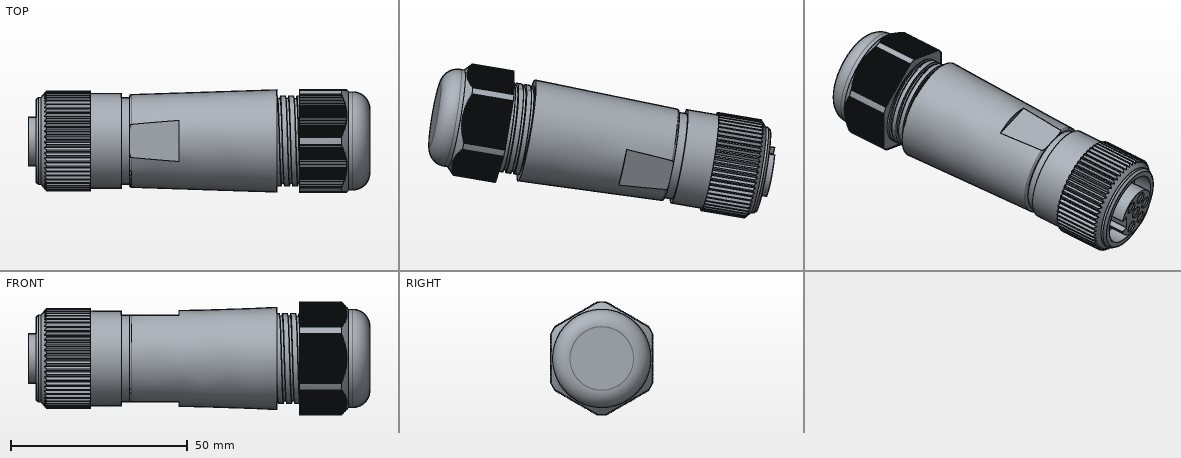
import cadquery as cq
import math

TOTAL_LENGTH = 96.5

INSERT_RADIUS = 7.0
FLANGE_RADIUS = 9.1
FLANGE_THICKNESS = 1.9
SOCKET_DIAMETER = 3.4
SOCKET_DEPTH = 0.5
SOCKET_CIRCLE_RADIUS = 4.5
SOCKET_ANGLES = (-120, -60, 0, 60, 120)
KEYWAY_WIDTH = 4.3
KEYWAY_BOTTOM = 4.7

RING_START = 2.1
RING_END = 26.2
RING_BORE_RADIUS = 10.3
RING_FACE_RADIUS = 11.8
RING_NOSE_START = 2.9
RING_NOSE_RADIUS = 12.35
RING_NOSE_END = 3.6
RING_COLLAR_RADIUS = 13.4
RING_KNURL_RADIUS = 14.1
RING_KNURL_START = 5.1
RING_KNURL_END = 17.5
RING_TEETH = 55
RING_CREST_WIDTH = 0.4
CAVITY_FLOOR = 7.5

NECK_RADIUS = 12.3
BODY_START = 28.6
BODY_END = 70.1
BODY_START_RADIUS = 13.1
BODY_END_RADIUS = 14.5
BODY_ROUND = 0.6
FLAT_END = 42.5

THREAD_RADIUS = 12.7
THREAD_ROOT_RADIUS = 12.1
THREAD_PITCH = 2.3
GROOVE_TURNS = 4
THREAD_END = 81.05
GROOVE_TOP_X = 71.3
GROOVE_ROOT_WIDTH = 0.7
GROOVE_CREST_WIDTH = 1.0

NUT_START = 76.5
NUT_ACROSS_FLATS = 29.0
NUT_ACROSS_CORNERS = 31.9
NUT_CHAMFER_START = 88.4
NUT_CHAMFER_END = 90.4
NUT_TEETH_PER_FLAT = 29
NUT_TOOTH_PITCH = 0.5
DOME_RADIUS = 13.9
DOME_ROUND = 4.9


def cylinder(x_start, x_end, radius):
    return cq.Workplane("YZ", origin=(x_start, 0, 0)).circle(radius).extrude(x_end - x_start)


def prism(x_start, x_end, points):
    return cq.Workplane("YZ", origin=(x_start, 0, 0)).polyline(points).close().extrude(x_end - x_start)


def revolve_about_x(profile):
    return profile.close().revolve(360, (0, 0, 0), (1, 0, 0))


def polar(radius, angle):
    return (radius * math.cos(angle), radius * math.sin(angle))


def make_insert():
    flange_end = CAVITY_FLOOR + FLANGE_THICKNESS
    post = cylinder(0, CAVITY_FLOOR, INSERT_RADIUS)
    keyway = cq.Workplane("XY").box(
        CAVITY_FLOOR, INSERT_RADIUS, KEYWAY_WIDTH, centered=(False, False, True)
    ).translate((0, KEYWAY_BOTTOM, 0))
    insert = post.cut(keyway).union(cylinder(CAVITY_FLOOR, flange_end, FLANGE_RADIUS))

    ring_sockets = [polar(SOCKET_CIRCLE_RADIUS, math.radians(180 + a)) for a in SOCKET_ANGLES]
    sockets = (
        cq.Workplane("YZ")
        .pushPoints([(0, 0)] + ring_sockets)
        .circle(SOCKET_DIAMETER / 2)
        .extrude(SOCKET_DEPTH)
    )
    return insert.cut(sockets)


def make_ring():
    envelope = revolve_about_x(
        cq.Workplane("XY")
        .moveTo(RING_START, 0)
        .lineTo(RING_START, RING_FACE_RADIUS)
        .lineTo(RING_NOSE_START, RING_NOSE_RADIUS)
        .lineTo(RING_NOSE_END, RING_NOSE_RADIUS)
        .lineTo(RING_KNURL_START, RING_KNURL_RADIUS)
        .lineTo(RING_END, RING_KNURL_RADIUS)
        .lineTo(RING_END, 0)
    )
    half_tooth = math.pi / RING_TEETH
    half_crest = RING_CREST_WIDTH / 2 / RING_KNURL_RADIUS
    knurl_points = []
    for tooth in range(RING_TEETH):
        crest_angle = (2 * tooth + 1) * half_tooth
        knurl_points.append(polar(RING_KNURL_RADIUS, crest_angle - half_crest))
        knurl_points.append(polar(RING_KNURL_RADIUS, crest_angle + half_crest))
        knurl_points.append(polar(RING_COLLAR_RADIUS, crest_angle + half_tooth))
    knurl = prism(RING_START, RING_KNURL_END, knurl_points).intersect(envelope)
    collar = cylinder(RING_KNURL_END, RING_END, RING_COLLAR_RADIUS)
    return knurl.union(collar).cut(cylinder(RING_START, RING_END, RING_BORE_RADIUS))


def make_grip():
    arc_middle = BODY_ROUND * (1 - math.sqrt(0.5))
    grip = revolve_about_x(
        cq.Workplane("XY")
        .moveTo(BODY_START, 0)
        .lineTo(BODY_START, BODY_START_RADIUS - BODY_ROUND)
        .threePointArc(
            (BODY_START + arc_middle, BODY_START_RADIUS - arc_middle),
            (BODY_START + BODY_ROUND, BODY_START_RADIUS),
        )
        .lineTo(BODY_END, BODY_END_RADIUS)
        .lineTo(BODY_END, 0)
    )
    flat_depth = BODY_END_RADIUS - NECK_RADIUS
    for side in (1, -1):
        flat = cq.Workplane("XY").box(
            FLAT_END - BODY_START, 2 * BODY_END_RADIUS, flat_depth, centered=(False, True, True)
        ).translate((BODY_START, 0, side * (NECK_RADIUS + flat_depth / 2)))
        grip = grip.cut(flat)
    return grip


def make_thread():
    """Threaded stub, rooted inside the grip so that its one-start groove emerges from the grip end."""
    groove_overshoot = 0.5
    groove_start = GROOVE_TOP_X - THREAD_PITCH
    stub_start = groove_start - THREAD_PITCH
    cutter_radius = THREAD_RADIUS + groove_overshoot
    flank_slope = (GROOVE_CREST_WIDTH - GROOVE_ROOT_WIDTH) / (THREAD_RADIUS - THREAD_ROOT_RADIUS)
    cutter_width = GROOVE_CREST_WIDTH + flank_slope * groove_overshoot
    path = cq.Wire.makeHelix(THREAD_PITCH, GROOVE_TURNS * THREAD_PITCH, THREAD_ROOT_RADIUS)
    groove = (
        cq.Workplane("XZ")
        .polyline([
            (THREAD_ROOT_RADIUS, -GROOVE_ROOT_WIDTH / 2),
            (cutter_radius, -cutter_width / 2),
            (cutter_radius, cutter_width / 2),
            (THREAD_ROOT_RADIUS, GROOVE_ROOT_WIDTH / 2),
        ])
        .close()
        .sweep(path, isFrenet=True)
    )
    groove = groove.rotate((0, 0, 0), (0, 0, 1), 180).rotate((0, 0, 0), (0, 1, 0), 90)
    return cylinder(stub_start, THREAD_END, THREAD_RADIUS).cut(groove.translate((groove_start, 0, 0)))


def make_housing():
    flange_end = CAVITY_FLOOR + FLANGE_THICKNESS
    spigot = cylinder(CAVITY_FLOOR, RING_END, RING_BORE_RADIUS)
    flange_seat = cylinder(CAVITY_FLOOR, flange_end, FLANGE_RADIUS)
    neck = cylinder(RING_END, BODY_START, NECK_RADIUS)
    return spigot.cut(flange_seat).union(neck).union(make_grip()).union(make_thread())


def toothed_hexagon():
    """Hexagon with corners up and down and a row of 90 degree V teeth on each flat."""
    apothem = NUT_ACROSS_FLATS / 2
    tooth_depth = NUT_TOOTH_PITCH / 2
    row_start = -NUT_TEETH_PER_FLAT * NUT_TOOTH_PITCH / 2
    half_side = apothem * math.tan(math.pi / 6)
    points = []
    for side in range(6):
        turn = side * math.pi / 3
        flat_points = [(apothem, -half_side)]
        for step in range(2 * NUT_TEETH_PER_FLAT + 1):
            distance = apothem - tooth_depth * (step % 2)
            flat_points.append((distance, row_start + step * NUT_TOOTH_PITCH / 2))
        for out, along in flat_points:
            points.append((
                out * math.cos(turn) - along * math.sin(turn),
                out * math.sin(turn) + along * math.cos(turn),
            ))
    return points


def make_nut():
    dome_start = TOTAL_LENGTH - DOME_ROUND
    corner_radius = NUT_ACROSS_CORNERS / 2
    arc_middle = DOME_ROUND * math.sqrt(0.5)
    hexagon = prism(NUT_START, NUT_CHAMFER_END, toothed_hexagon())
    chamfered_blank = revolve_about_x(
        cq.Workplane("XY")
        .moveTo(NUT_START, 0)
        .lineTo(NUT_START, corner_radius)
        .lineTo(NUT_CHAMFER_START, corner_radius)
        .lineTo(NUT_CHAMFER_END, DOME_RADIUS)
        .lineTo(NUT_CHAMFER_END, 0)
    )
    dome = revolve_about_x(
        cq.Workplane("XY")
        .moveTo(NUT_CHAMFER_END, 0)
        .lineTo(NUT_CHAMFER_END, DOME_RADIUS)
        .lineTo(dome_start, DOME_RADIUS)
        .threePointArc(
            (dome_start + arc_middle, DOME_RADIUS - DOME_ROUND + arc_middle),
            (TOTAL_LENGTH, DOME_RADIUS - DOME_ROUND),
        )
        .lineTo(TOTAL_LENGTH, 0)
    )
    bore = cylinder(NUT_START, THREAD_END, THREAD_RADIUS)
    return hexagon.intersect(chamfered_blank).union(dome).cut(bore)


insert = make_insert()
ring = make_ring()
housing = make_housing()
nut = make_nut()

result = cq.Compound.makeCompound([insert.val(), ring.val(), housing.val(), nut.val()])